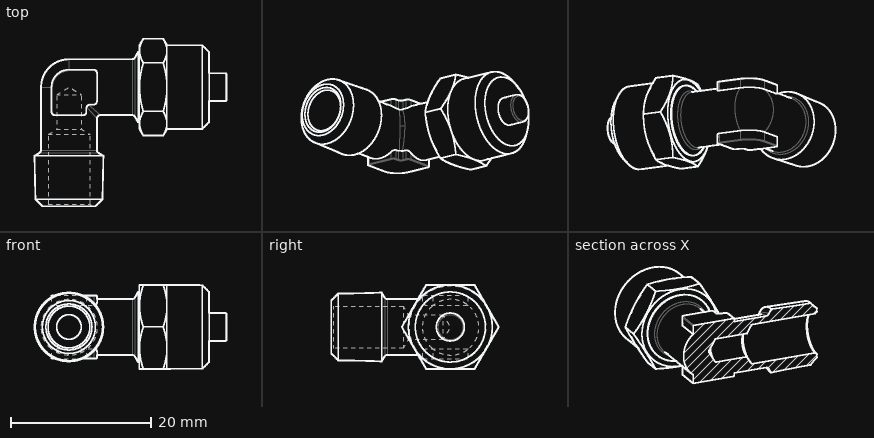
import cadquery as cq
import math

arm_radius = 4.0
bend_fillet = 0.5

shoulder_angle = 60
shoulder_fillet = 0.45

thread_start = 9.8
thread_end = 16.0
arm_end = 17.02
thread_radius = 4.95
thread_end_radius = 4.8
arm_end_radius = 3.8

bore_radius = 3.0
bore_chamfer = 0.3
bore_bottom = 6.0
drill_radius = 1.75
drill_tip = 0
drill_point_angle = 118

collar_start = 9.88
collar_radius = 5.05
nut_start = 10.02
nut_end = 14.0
nut_flats = 12.0
nut_front_radius = 5.9
nut_chamfer_angle = 30
cap_radius = nut_flats / 2
cap_end = 20.0
cap_chamfer = 1.0
stem_radius = 2.0
stem_end = 22.5
stem_fillet = 0.22

pad_width = 2.5
pad_reach = arm_radius
pad_height = 4.5
pad_corner_radius = 0.5
pad_rim_fillet = 0.1


def turn_about_x(points):
    """Revolve a closed outline of (distance along X, radius) points about the X axis."""
    return cq.Workplane("XY").polyline(points).close().revolve(360, (0, 0, 0), (1, 0, 0))


def cone_run(rise, angle_from_axis):
    """Axial length of a cone whose radius grows by the given rise."""
    return rise / math.tan(math.radians(angle_from_axis))


def round_foot(arm, foot):
    """Fillet the inside edge where the shoulder rises from the arm."""
    return arm.edges(cq.selectors.NearestToPointSelector((foot, 0, 0))).fillet(shoulder_fillet)


def make_thread_arm():
    """Arm built along +X, then turned to point along -Y."""
    foot = thread_start - cone_run(thread_radius - arm_radius, shoulder_angle)
    arm = turn_about_x([
        (0, 0),
        (0, arm_radius),
        (foot, arm_radius),
        (thread_start, thread_radius),
        (thread_end, thread_end_radius),
        (arm_end, arm_end_radius),
        (arm_end, 0),
    ])
    return round_foot(arm, foot).rotate((0, 0, 0), (0, 0, 1), -90)


def make_collar_arm():
    foot = collar_start - cone_run(collar_radius - arm_radius, shoulder_angle)
    arm = turn_about_x([
        (0, 0),
        (0, arm_radius),
        (foot, arm_radius),
        (collar_start, collar_radius),
        (nut_end, collar_radius),
        (nut_end, 0),
    ])
    return round_foot(arm, foot)


def make_nut():
    """Hexagon with a corner on +Y, its corners trimmed by a cone at each face."""
    corner_radius = nut_flats / math.sqrt(3)
    hexagon = (
        cq.Workplane("YZ", origin=(nut_start, 0, 0))
        .polygon(6, 2 * corner_radius)
        .extrude(nut_end - nut_start)
    )
    steepness = 90 - nut_chamfer_angle
    trim = turn_about_x([
        (nut_start, 0),
        (nut_start, nut_front_radius),
        (nut_start + cone_run(corner_radius - nut_front_radius, steepness), corner_radius),
        (nut_end - cone_run(corner_radius - cap_radius, steepness), corner_radius),
        (nut_end, cap_radius),
        (nut_end, 0),
    ])
    return hexagon.intersect(trim)


def make_cap():
    stem = (
        cq.Workplane("YZ", origin=(nut_end, 0, 0))
        .circle(stem_radius)
        .extrude(stem_end - nut_end)
        .faces(">X").edges().fillet(stem_fillet)
    )
    cap = (
        cq.Workplane("YZ", origin=(nut_end, 0, 0))
        .circle(cap_radius)
        .extrude(cap_end - nut_end)
        .faces(">X").edges().chamfer(cap_chamfer)
    )
    return cap.union(stem)


def make_pads():
    """One L-shaped block through the elbow; its two ends stand out as the pads."""
    rounded_corners = [
        (pad_reach, pad_width),
        (pad_reach, -pad_width),
        (pad_width, -pad_width),
        (pad_width, -pad_reach),
        (-pad_width, -pad_reach),
    ]
    block = (
        cq.Workplane("XY", origin=(0, 0, -pad_height))
        .moveTo(-pad_width, 0)
        .radiusArc((0, pad_width), pad_width)
        .polyline(rounded_corners, includeCurrent=True)
        .close()
        .extrude(2 * pad_height)
    )
    for x, y in rounded_corners:
        block = block.edges(cq.selectors.NearestToPointSelector((x, y, 0))).fillet(pad_corner_radius)
    return block.faces("|Z").edges().fillet(pad_rim_fillet)


def make_bore():
    """Chamfered bore narrowing through a conical step to a drilled hole with a pointed end."""
    half_angle = drill_point_angle / 2
    step_length = cone_run(bore_radius - drill_radius, half_angle)
    bore = turn_about_x([
        (drill_tip, 0),
        (drill_tip + cone_run(drill_radius, half_angle), drill_radius),
        (bore_bottom, drill_radius),
        (bore_bottom + step_length, bore_radius),
        (arm_end - bore_chamfer, bore_radius),
        (arm_end, bore_radius + bore_chamfer),
        (arm_end, 0),
    ])
    return bore.rotate((0, 0, 0), (0, 0, 1), -90)


elbow_ball = cq.Workplane("XY").sphere(arm_radius)
elbow = make_thread_arm().union(make_collar_arm()).union(elbow_ball).union(make_pads())
inner_corner = cq.selectors.NearestToPointSelector((arm_radius, -arm_radius, 0))
elbow = elbow.edges(inner_corner).fillet(bend_fillet)

result = elbow.union(make_nut()).union(make_cap()).cut(make_bore())